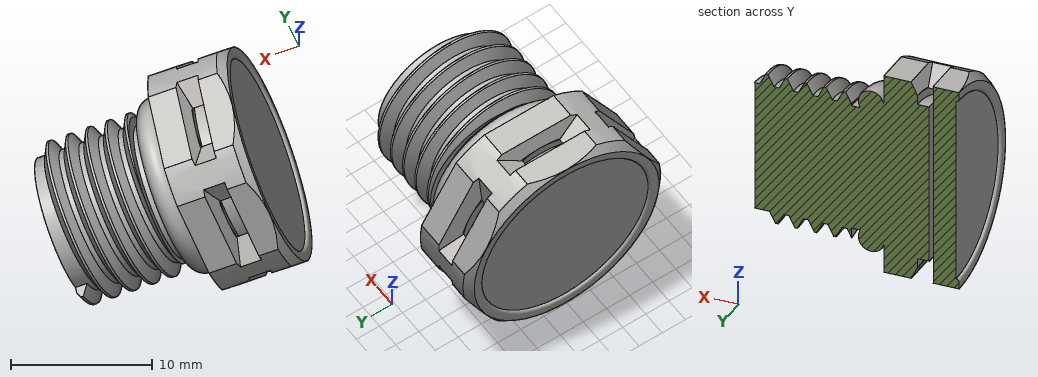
import math

import cadquery as cq

head_length = 5.84
ring_thickness = 2.0
neck_length = 2.51
pitch = 1.5
thread_turns = 5
thread_length = thread_turns * pitch
thread_start = head_length + neck_length
thread_end = thread_start + thread_length

flat_count = 6
across_flats = 16.0
head_diameter = 17.07
face_diameter = 15.96
chamfer_length = 0.58

recess_diameter = 14.4
recess_edge_radius = 0.24

cavity_diameter = 14.0
hub_diameter = 12.6
cavity_start = 2.03
hub_start = 2.32

slot_inner_width = 3.2
slot_splay_angle = 62.0
slot_wall_slope = 0.5
slot_wall_at_flat = 3.72

neck_diameter = 10.0
ring_diameter = 13.08
core_diameter = 10.25
crest_diameter = 12.0
crest_width = pitch / 8
tooth_base_width = pitch * 3 / 4
thread_phase = -0.2
thread_end_angle = 30.0
lead_in_turns = 1
thread_embed = 0.09


def disc(start, end, diameter):
    """Solid cylinder on the X axis."""
    return cq.Workplane("YZ", origin=(start, 0, 0)).circle(diameter / 2).extrude(end - start)


def slot_wall(radius):
    """X position of the sloping shank-side slot wall at a given distance from the axis."""
    return slot_wall_at_flat + (radius - across_flats / 2) * slot_wall_slope


def hex_head():
    """Hexagon with turned corners and a chamfered outer rim."""
    hexagon = (
        cq.Workplane("YZ")
        .polygon(flat_count, across_flats, circumscribed=True)
        .extrude(head_length)
        .rotate((0, 0, 0), (1, 0, 0), 180 / flat_count)
    )
    turned = (
        cq.Workplane("XY")
        .moveTo(0, 0)
        .lineTo(0, face_diameter / 2)
        .lineTo(chamfer_length, head_diameter / 2)
        .lineTo(head_length, head_diameter / 2)
        .lineTo(head_length, 0)
        .close()
        .revolve(360, (0, 0, 0), (1, 0, 0))
    )
    return hexagon.intersect(turned)


def face_recess():
    """Recess whose wall is a convex quarter round running out into the rim."""
    radius = recess_diameter / 2
    edge = recess_edge_radius
    diagonal = edge * math.sqrt(0.5)
    return (
        cq.Workplane("XY")
        .moveTo(0, 0)
        .lineTo(0, radius + edge)
        .threePointArc((edge - diagonal, radius + edge - diagonal), (edge, radius))
        .lineTo(edge, 0)
        .close()
        .revolve(360, (0, 0, 0), (1, 0, 0))
    )


def cavity():
    """Hollow between the outer wall and the hub, including the gap above the hub's end face."""
    cavity_end = slot_wall(cavity_diameter / 2)
    hollow = disc(cavity_start, cavity_end, cavity_diameter)
    return hollow.cut(disc(hub_start, cavity_end, hub_diameter))


def vent_slot():
    """Splayed slot through the +Z flat; its shank-side wall leans towards the shank going outwards."""
    half_inner = slot_inner_width / 2
    inner = math.sqrt((cavity_diameter / 2) ** 2 - half_inner**2)
    outer = head_diameter / 2
    half_outer = half_inner + (outer - inner) * math.tan(math.radians(slot_splay_angle))
    opening = (
        cq.Workplane("YZ")
        .polyline(
            [(-half_inner, inner), (half_inner, inner), (half_outer, outer), (-half_outer, outer)]
        )
        .close()
        .extrude(head_length)
    )
    side_profile = (
        cq.Workplane("XZ")
        .polyline(
            [
                (cavity_start, inner),
                (slot_wall(inner), inner),
                (slot_wall(outer), outer),
                (cavity_start, outer),
            ]
        )
        .close()
        .extrude(head_diameter / 2, both=True)
    )
    return opening.intersect(side_profile)


def sealing_ring():
    """O-ring on the neck, resting against the back of the head."""
    tube = ring_thickness / 2
    tube_center = ring_diameter / 2 - tube
    middle = head_length + tube
    neck = neck_diameter / 2
    neck_contact = middle + math.sqrt(tube**2 - (tube_center - neck) ** 2)
    return (
        cq.Workplane("XY")
        .moveTo(head_length, tube_center)
        .threePointArc((middle, ring_diameter / 2), (neck_contact, neck))
        .lineTo(neck_contact, 0)
        .lineTo(head_length, 0)
        .close()
        .revolve(360, (0, 0, 0), (1, 0, 0))
    )


def thread():
    """Right-hand ridge with one lead-in turn, trimmed to the core length.

    The lead-in turn starts on the -Z side; the last turn stops short of -Z by the end angle.
    """
    root = core_diameter / 2
    crest = crest_diameter / 2
    flank_slope = (tooth_base_width - crest_width) / 2 / (crest - root)
    half_base = tooth_base_width / 2 + thread_embed * flank_slope
    half_crest = crest_width / 2
    ridge_turns = thread_turns + lead_in_turns - thread_end_angle / 360
    ridge_start = thread_start + thread_phase - lead_in_turns * pitch
    path = cq.Wire.makeHelix(pitch, ridge_turns * pitch, root)
    ridge = (
        cq.Workplane("XZ")
        .polyline(
            [
                (root - thread_embed, -half_base),
                (crest, -half_crest),
                (crest, half_crest),
                (root - thread_embed, half_base),
            ]
        )
        .close()
        .sweep(cq.Workplane(path), isFrenet=True)
        .rotate((0, 0, 0), (0, 1, 0), 90)
        .translate((ridge_start, 0, 0))
    )
    return ridge.intersect(disc(thread_start, thread_end, head_diameter))


head = hex_head().cut(face_recess()).cut(cavity())
for index in range(flat_count):
    head = head.cut(vent_slot().rotate((0, 0, 0), (1, 0, 0), index * 360 / flat_count))

neck = disc(head_length, thread_start, neck_diameter)
core = disc(thread_start, thread_end, core_diameter)
shank = neck.union(core).union(thread())

result = head.union(sealing_ring()).union(shank)